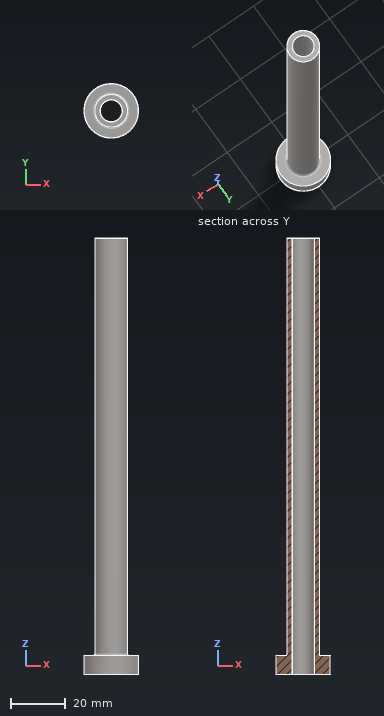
import cadquery as cq

total_length = 160.0
head_diameter = 20.0
head_thickness = 7.0
shank_diameter = 12.0
bore_diameter = 8.0
neck_fillet = 0.5

head_radius = head_diameter / 2
shank_radius = shank_diameter / 2
bore_radius = bore_diameter / 2


def sleeve_body():
    """Head and shank turned about Z, with a concave fillet at the neck."""
    return (
        cq.Workplane("XZ")
        .lineTo(head_radius, 0)
        .lineTo(head_radius, head_thickness)
        .lineTo(shank_radius + neck_fillet, head_thickness)
        .radiusArc((shank_radius, head_thickness + neck_fillet), neck_fillet)
        .lineTo(shank_radius, total_length)
        .lineTo(0, total_length)
        .close()
        .revolve(360, (0, 0, 0), (0, 1, 0))
    )


bore = cq.Workplane("XY").circle(bore_radius).extrude(total_length)

result = sleeve_body().cut(bore)